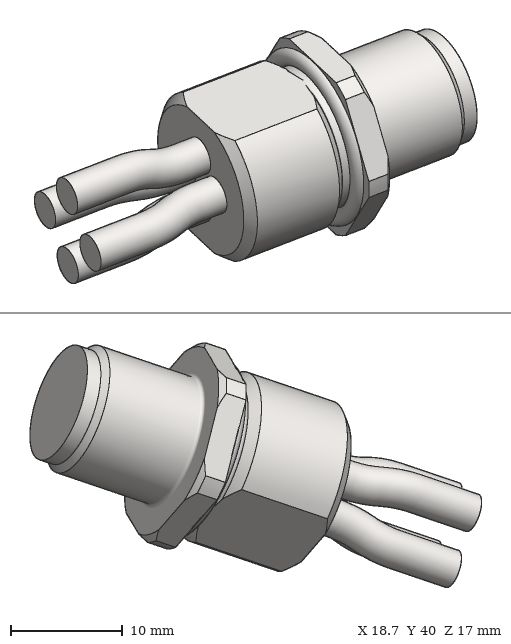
import cadquery as cq
import math


wire_outer_bend_y = 5.9
wire_inner_bend_y = 11.95
body_start = 14.1
body_end = 24.6
flange_start = 26.0
flange_end = 28.5
thread_end = 38.65
total_length = 40.0

body_diameter = 16.0
body_flats = 13.5
body_chamfer = 0.9

neck_diameter = body_flats
ring_outer_diameter = 16.9
ring_sink = 0.1

flange_flats = 17.0
flange_corner_diameter = 18.7
flange_turn = 30
flange_chamfer = 0.5

thread_diameter = 12.0
thread_fillet = 0.3
nose_diameter = 10.8

wire_diameter = 3.5
wire_inner_radius = 2.55
wire_outer_radius = 3.75
wire_embed = 0.4
top_wire_shift_x = -0.1
top_wire_shift_z = 0.1


def cylinder(diameter, start, end):
    """Cylinder around the Y axis from start to end."""
    plane = cq.Workplane("XZ", origin=(0, start, 0))
    return plane.circle(diameter / 2).extrude(start - end)


def make_body_and_neck():
    """Chamfered body flaring out of the neck, cut to two flats."""
    body_radius = body_diameter / 2
    neck_radius = neck_diameter / 2
    rim_radius = body_radius - body_chamfer
    neck_fillet = rim_radius - neck_radius
    arc_offset = neck_fillet * (1 - math.sqrt(0.5))
    profile = (
        cq.Workplane("XY")
        .moveTo(0, body_start)
        .lineTo(rim_radius, body_start)
        .lineTo(body_radius, body_start + body_chamfer)
        .lineTo(body_radius, body_end - body_chamfer)
        .lineTo(rim_radius, body_end)
        .threePointArc(
            (neck_radius + arc_offset, body_end + arc_offset),
            (neck_radius, body_end + neck_fillet),
        )
        .lineTo(neck_radius, flange_start)
        .lineTo(0, flange_start)
        .close()
    )
    turned = profile.revolve(360, (0, 0, 0), (0, 1, 0))
    between_flats = (
        cq.Workplane("XZ", origin=(0, body_start, 0))
        .rect(body_diameter, body_flats)
        .extrude(body_start - flange_start)
    )
    return turned.intersect(between_flats)


def make_sealing_ring():
    """Round-section ring on the neck, just over half sunk into the flange."""
    section_radius = (ring_outer_diameter - neck_diameter) / 4
    center_radius = (ring_outer_diameter + neck_diameter) / 4
    return (
        cq.Workplane("XY")
        .center(center_radius, flange_start + ring_sink)
        .circle(section_radius)
        .revolve(360, (-center_radius, 0, 0), (-center_radius, 1, 0))
    )


def make_flange():
    """Hexagon with flats at +Z and -Z, its corners turned and chamfered."""
    hexagon = (
        cq.Workplane("XZ", origin=(0, flange_start, 0))
        .polygon(6, flange_flats, circumscribed=True)
        .extrude(flange_start - flange_end)
        .rotate((0, 0, 0), (0, 1, 0), flange_turn)
    )
    turned = cylinder(flange_corner_diameter, flange_start, flange_end)
    return hexagon.intersect(turned.faces(">Y").chamfer(flange_chamfer))


def make_mating_end():
    """Plain thread cylinder and nose, filleted into the flange."""
    thread_radius = thread_diameter / 2
    nose_radius = nose_diameter / 2
    arc_offset = thread_fillet * (1 - math.sqrt(0.5))
    profile = (
        cq.Workplane("XY")
        .moveTo(0, flange_end)
        .lineTo(thread_radius + thread_fillet, flange_end)
        .threePointArc(
            (thread_radius + arc_offset, flange_end + arc_offset),
            (thread_radius, flange_end + thread_fillet),
        )
        .lineTo(thread_radius, thread_end - (thread_radius - nose_radius))
        .lineTo(nose_radius, thread_end)
        .lineTo(nose_radius, total_length)
        .lineTo(0, total_length)
        .close()
    )
    return profile.revolve(360, (0, 0, 0), (0, 1, 0))


def make_wire(angle):
    """Wire bent outward by two equal arcs, turned about Y to the given angle."""
    middle = (
        (wire_outer_radius + wire_inner_radius) / 2,
        (wire_outer_bend_y + wire_inner_bend_y) / 2,
    )
    path = (
        cq.Workplane("XY")
        .moveTo(wire_outer_radius, 0)
        .lineTo(wire_outer_radius, wire_outer_bend_y)
        .tangentArcPoint(middle, relative=False)
        .tangentArcPoint((wire_inner_radius, wire_inner_bend_y), relative=False)
        .lineTo(wire_inner_radius, body_start + wire_embed)
    )
    section = cq.Workplane("XZ", origin=(wire_outer_radius, 0, 0)).circle(wire_diameter / 2)
    return section.sweep(path).rotate((0, 0, 0), (0, 1, 0), angle)


result = (
    make_body_and_neck()
    .union(make_flange())
    .union(make_sealing_ring())
    .union(make_mating_end())
)

top_wire_angle = 270
for wire_angle in (0, 90, 180):
    result = result.union(make_wire(wire_angle))

top_wire = make_wire(top_wire_angle).translate((top_wire_shift_x, 0, top_wire_shift_z))
result = result.union(top_wire)